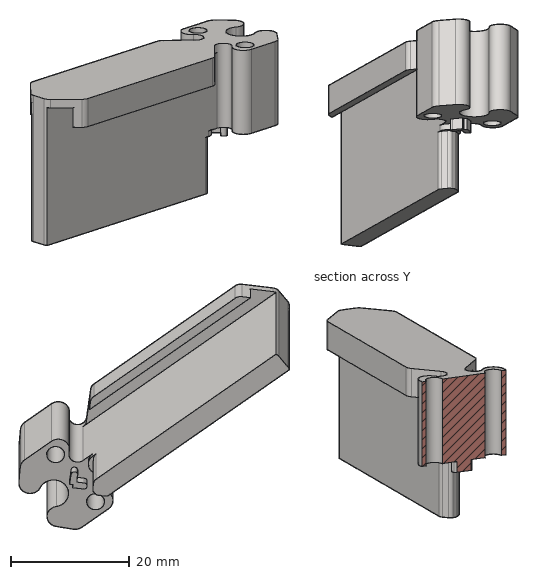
import cadquery as cq
import math


total_width = 15.9
total_length = 52.91
total_height = 26.1

head_height = 15.0
head_radius = 1.9
bore_radius = 2.5
mouth_half_width = 2.0
shoulder_drop = 3.85
lobe_drop = 9.55
notch_radius = 1.5
rivet_hole_diameter = 3.0
rivet_hole_x = 5.55
rivet_hole_drop = 8.6

cap_half_width = 6.5
cap_thickness = 1.5
cap_corner_radius = 1.5
skirt_depth = 5.0
skirt_inner_x = 5.0

web_half_width = 1.85
web_neck_depth = 16.0
neck_rear_drop = 11.8
web_rear_drop = 12.6
web_rear_chamfer = 1.35
web_rear_fillet = 1.0

key_height = 1.9
key_radius = 0.57
key_arm_angle = 45
key_end_x = 1.3
key_end_drop = 9.35
key_rear_drop = 7.67

tip_x = mouth_half_width + head_radius
tip_y = math.sqrt((bore_radius + head_radius) ** 2 - tip_x ** 2)
rear_y = tip_y + head_radius
front_y = rear_y - total_length
side_x = total_width / 2
lobe_x = side_x - head_radius
shoulder_y = rear_y - shoulder_drop
lobe_y = rear_y - lobe_drop
notch_x = web_half_width + notch_radius
notch_y = lobe_y - math.sqrt((head_radius + notch_radius) ** 2 - (lobe_x - notch_x) ** 2)

taper_angle = 45
diagonal = math.cos(math.radians(taper_angle))
taper_start_x = notch_x - notch_radius * diagonal
taper_start_y = notch_y - notch_radius * diagonal
cap_rear_y = taper_start_y - (cap_half_width - taper_start_x)
cap_front_y = front_y + (cap_half_width - web_half_width)
neck_rear_y = rear_y - neck_rear_drop
key_end_y = rear_y - key_end_drop


def polar(x, y, radius, degrees):
    """Point on a circle around (x, y)."""
    angle = math.radians(degrees)
    return x + radius * math.cos(angle), y + radius * math.sin(angle)


def prism(x_min, x_max, y_min, y_max, depth):
    """Block reaching down from the top face."""
    return (
        cq.Workplane("XY")
        .box(x_max - x_min, y_max - y_min, depth, centered=False)
        .translate((x_min, y_min, -depth))
    )


def mirrored(half):
    """Union of a body with its mirror image across X = 0."""
    return half.union(half.mirror("YZ"))


def outline_prism(depth):
    """Full plan outline of head and cap, extruded down from the top face."""
    bore_join = math.degrees(math.atan2(tip_y, tip_x))
    shoulder_normal = math.degrees(math.atan2(lobe_x - tip_x, tip_y - shoulder_y))
    notch_join = math.degrees(math.atan2(lobe_y - notch_y, lobe_x - notch_x))
    tip_start = bore_join + 180
    tip_mid = (tip_start + shoulder_normal) / 2
    lobe_end = notch_join - 180
    notch_end = 180 + taper_angle
    half = (
        cq.Workplane("XY")
        .moveTo(0, -bore_radius)
        .threePointArc(
            polar(0, 0, bore_radius, (bore_join - 90) / 2),
            polar(0, 0, bore_radius, bore_join),
        )
        .threePointArc(
            polar(tip_x, tip_y, head_radius, tip_mid),
            polar(tip_x, tip_y, head_radius, shoulder_normal),
        )
        .lineTo(*polar(lobe_x, shoulder_y, head_radius, shoulder_normal))
        .threePointArc(
            polar(lobe_x, shoulder_y, head_radius, shoulder_normal / 2),
            (side_x, shoulder_y),
        )
        .lineTo(side_x, lobe_y)
        .threePointArc(
            polar(lobe_x, lobe_y, head_radius, lobe_end / 2),
            polar(lobe_x, lobe_y, head_radius, lobe_end),
        )
        .threePointArc(
            polar(notch_x, notch_y, notch_radius, (notch_join + notch_end) / 2),
            (taper_start_x, taper_start_y),
        )
        .lineTo(cap_half_width, cap_rear_y)
        .lineTo(cap_half_width, cap_front_y)
        .lineTo(web_half_width, front_y)
        .lineTo(0, front_y)
        .close()
        .extrude(-depth)
    )
    cap_corners = [
        (cap_half_width, cap_rear_y),
        (cap_half_width, cap_front_y),
        (web_half_width, front_y),
    ]
    for x, y in cap_corners:
        corner = cq.selectors.NearestToPointSelector((x, y, -depth / 2))
        half = half.edges(corner).fillet(cap_corner_radius)
    return mirrored(half)


def head():
    """Clip head at full depth, with its two rivet holes."""
    block = outline_prism(head_height).intersect(
        prism(-side_x, side_x, notch_y, rear_y, head_height)
    )
    holes = (
        cq.Workplane("XY")
        .pushPoints([(side * rivet_hole_x, rear_y - rivet_hole_drop) for side in (-1, 1)])
        .circle(rivet_hole_diameter / 2)
        .extrude(-head_height)
    )
    return block.cut(holes)


def cap():
    """Thin cover plate with a skirt along each long side."""
    hollow = prism(-skirt_inner_x, skirt_inner_x, front_y, notch_y, skirt_depth).cut(
        prism(-skirt_inner_x, skirt_inner_x, front_y, notch_y, cap_thickness)
    )
    body = prism(-cap_half_width, cap_half_width, front_y, notch_y, skirt_depth)
    return outline_prism(skirt_depth).intersect(body).cut(hollow)


def web():
    """Central blade: a short neck with a round rear end above a deep part with a chamfered rear end."""
    neck_round_y = neck_rear_y - web_half_width
    neck = prism(-web_half_width, web_half_width, front_y, neck_round_y, web_neck_depth).union(
        cq.Workplane("XY").center(0, neck_round_y).circle(web_half_width).extrude(-web_neck_depth)
    )
    root = prism(-web_half_width, web_half_width, front_y, notch_y, head_height)
    deep = (
        prism(-web_half_width, web_half_width, front_y, rear_y - web_rear_drop, total_height)
        .edges("|Z and >Y")
        .chamfer(web_rear_chamfer)
    )
    rear_edges = deep.faces(">Y").edges("|Z").vals()
    side_edges = deep.faces("<X or >X").edges("|Z and >Y").vals()
    deep = deep.newObject(rear_edges + side_edges).fillet(web_rear_fillet)
    return neck.union(deep).union(root).intersect(outline_prism(total_height))


def key():
    """Chevron of two round-ended arms below the head, cut flat at its rear."""
    depth = head_height + key_height
    arm_length = key_end_x / math.cos(math.radians(key_arm_angle))
    arm = (
        cq.Workplane("XY")
        .rect(arm_length, 2 * key_radius)
        .extrude(-depth)
        .translate((arm_length / 2, 0, 0))
        .union(cq.Workplane("XY").circle(key_radius).extrude(-depth))
        .rotate((0, 0, 0), (0, 0, 1), key_arm_angle)
        .translate((-key_end_x, key_end_y, 0))
    )
    arm = arm.intersect(prism(-side_x, 0, notch_y, rear_y - key_rear_drop, depth))
    return mirrored(arm)


result = head().union(cap()).union(web()).union(key()).clean()